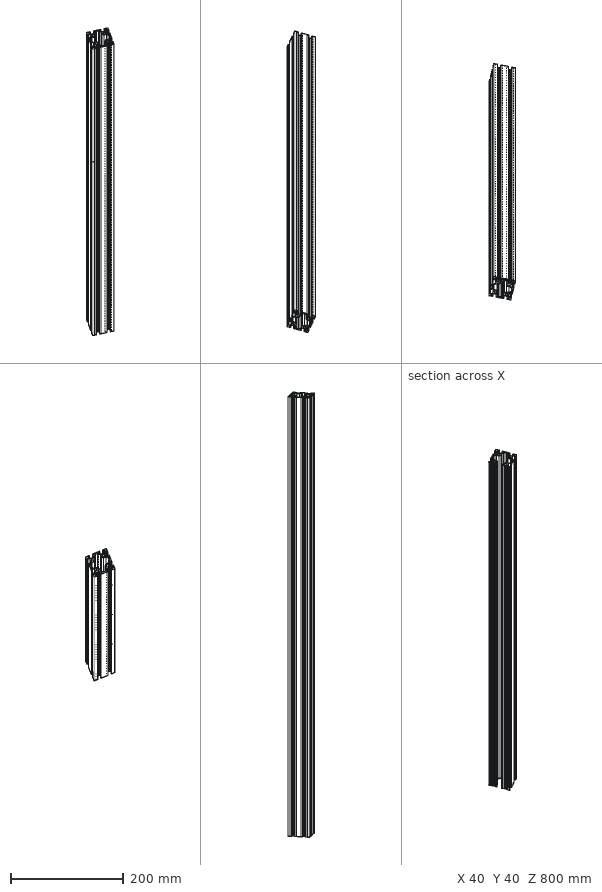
import cadquery as cq

LENGTH = 800
SIDE = 40
CORNER_RADIUS = 1.0

CELL = SIDE / 2
CELL_CENTRE = CELL / 2

SLOT_OPENING = 6.1
LIP_THICKNESS = 1.9
UNDERCUT_WIDTH = 12.0
GROOVE_WIDTH = 2.0
GROOVE_DEPTH = 0.4

CORE_SIDE = 8.5
CORE_HOLE_DIAMETER = 4.2
CORE_FLAT_HALF = 1.3

RIB_OFFSET_SLOT_SIDE = 1.4
RIB_OFFSET_CAVITY_SIDE = 0.7

MIDDLE_WALL = 2.5


def prism(points):
    return cq.Workplane("XY").polyline(points).close().extrude(LENGTH)


def slot_cutter(centre_x):
    """T-slot in the +Y face, with ribs sloping down to a floor that has a V groove."""
    face_y = SIDE / 2
    lip_y = face_y - LIP_THICKNESS
    floor_y = CELL_CENTRE + CORE_SIDE / 2
    undercut_half = UNDERCUT_WIDTH / 2
    floor_half = CORE_SIDE / 2 - RIB_OFFSET_SLOT_SIDE
    right_half = [
        (SLOT_OPENING / 2, face_y),
        (SLOT_OPENING / 2, lip_y),
        (undercut_half, lip_y),
        (undercut_half, CELL_CENTRE + undercut_half + RIB_OFFSET_SLOT_SIDE),
        (floor_half, floor_y),
        (GROOVE_WIDTH / 2, floor_y),
    ]
    groove_bottom = (0, floor_y - GROOVE_DEPTH)
    left_half = [(-x, y) for x, y in reversed(right_half)]
    outline = right_half + [groove_bottom] + left_half
    return prism([(centre_x + x, y) for x, y in outline])


def cavity_cutter():
    """Cross-shaped central cavity between the ribs, the cores and the middle walls."""
    wall = SIDE / 2 - MIDDLE_WALL
    core = CELL_CENTRE - CORE_SIDE / 2
    chamfer_end = CELL_CENTRE - CORE_FLAT_HALF
    rib_sum = SIDE / 2 - RIB_OFFSET_CAVITY_SIDE
    quarter = [
        (rib_sum - wall, wall),
        (core, rib_sum - core),
        (core, chamfer_end),
        (chamfer_end, core),
        (rib_sum - core, core),
        (wall, rib_sum - wall),
    ]
    outline = []
    for _ in range(4):
        outline += quarter
        quarter = [(y, -x) for x, y in quarter]
    return prism(outline)


result = cq.Workplane("XY").rect(SIDE, SIDE).extrude(LENGTH).edges("|Z").fillet(CORNER_RADIUS)

for centre_x in (-CELL_CENTRE, CELL_CENTRE):
    slot = slot_cutter(centre_x)
    for quarter_turn in range(4):
        result = result.cut(slot.rotate((0, 0, 0), (0, 0, 1), 90 * quarter_turn))

result = result.cut(cavity_cutter())

core_holes = (
    cq.Workplane("XY")
    .rect(CELL, CELL, forConstruction=True)
    .vertices()
    .circle(CORE_HOLE_DIAMETER / 2)
    .extrude(LENGTH)
)
result = result.cut(core_holes)